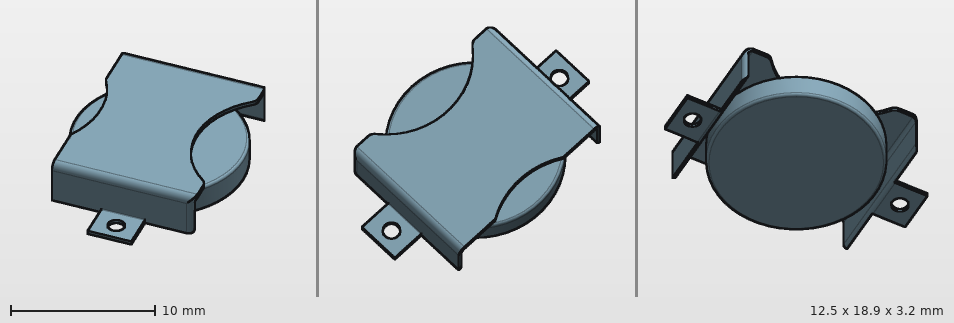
import cadquery as cq

CELL_DIAMETER = 12.5
CELL_RADIUS = CELL_DIAMETER / 2
CELL_HEIGHT = 2.0
CELL_EDGE_RADIUS = 0.2

OVERALL_LENGTH = 18.9
RETAINER_HEIGHT = 3.2
SHEET_THICKNESS = 0.28
BRIDGE_WIDTH_X = 10.62
BRIDGE_LENGTH_Y = 13.74
TOP_BEND_RADIUS = 0.57
FOOT_INNER_RADIUS = 0.04
CORNER_RADIUS = 0.6

TAB_WIDTH = 3.25
TAB_HOLE_DIAMETER = 1.21
TAB_HOLE_OFFSET_Y = 8.16

LEFT_NOTCH_RADIUS = 6.43
LEFT_NOTCH_BOTTOM_X = -4.38
RIGHT_NOTCH_RADIUS = 6.0
RIGHT_NOTCH_BOTTOM_X = 2.78
NOTCH_CORNER_RADIUS = 0.6

HALF_WIDTH = BRIDGE_WIDTH_X / 2
HALF_LENGTH = BRIDGE_LENGTH_Y / 2
FOOT_OUTER_RADIUS = FOOT_INNER_RADIUS + SHEET_THICKNESS


def make_cell():
    """Disc with rounded rims."""
    disc = cq.Workplane("XY").circle(CELL_RADIUS).extrude(CELL_HEIGHT)
    return disc.faces("<Z or >Z").edges().fillet(CELL_EDGE_RADIUS)


def bent_strip():
    """Constant-section strip: roof, two walls and two outward feet, with rounded bends."""
    tip_y = OVERALL_LENGTH / 2
    inner_y = HALF_LENGTH - SHEET_THICKNESS
    roof_underside = RETAINER_HEIGHT - SHEET_THICKNESS
    outline = [
        (-tip_y, 0),
        (-inner_y, 0),
        (-inner_y, roof_underside),
        (inner_y, roof_underside),
        (inner_y, 0),
        (tip_y, 0),
        (tip_y, SHEET_THICKNESS),
        (HALF_LENGTH, SHEET_THICKNESS),
        (HALF_LENGTH, RETAINER_HEIGHT),
        (-HALF_LENGTH, RETAINER_HEIGHT),
        (-HALF_LENGTH, SHEET_THICKNESS),
        (-tip_y, SHEET_THICKNESS),
    ]
    strip = cq.Workplane("YZ").polyline(outline).close().extrude(HALF_WIDTH, both=True)

    def round_bends(body, y, z, radius):
        for side in (-1, 1):
            picker = cq.selectors.NearestToPointSelector((0, side * y, z))
            body = body.edges("|X").edges(picker).fillet(radius)
        return body

    strip = round_bends(strip, HALF_LENGTH, RETAINER_HEIGHT, TOP_BEND_RADIUS)
    strip = round_bends(strip, inner_y, roof_underside, TOP_BEND_RADIUS - SHEET_THICKNESS)
    strip = round_bends(strip, inner_y, 0, FOOT_OUTER_RADIUS)
    return round_bends(strip, HALF_LENGTH, SHEET_THICKNESS, FOOT_INNER_RADIUS)


def notch(bottom_x, radius, direction):
    """Cylinder whose innermost line is at bottom_x, opening towards direction along X."""
    return (
        cq.Workplane("XY")
        .center(bottom_x + direction * radius, 0)
        .circle(radius)
        .extrude(RETAINER_HEIGHT)
    )


def bridge_plan():
    """Block with the plan shape of the bridge: notches and rounded +X corners."""
    plan = cq.Workplane("XY").rect(BRIDGE_WIDTH_X, BRIDGE_LENGTH_Y).extrude(RETAINER_HEIGHT)
    plan = plan.edges("|Z and >X").fillet(CORNER_RADIUS)
    plan = plan.cut(notch(RIGHT_NOTCH_BOTTOM_X, RIGHT_NOTCH_RADIUS, 1))
    plan = plan.edges("|Z and >X").edges(notch_corner_selector()).fillet(NOTCH_CORNER_RADIUS)
    return plan.cut(notch(LEFT_NOTCH_BOTTOM_X, LEFT_NOTCH_RADIUS, -1))


def notch_corner_selector():
    """Box around the two corners where the +X notch meets the roof edge."""
    reach = HALF_LENGTH - 2 * CORNER_RADIUS
    return cq.selectors.BoxSelector((0, -reach, 0), (BRIDGE_WIDTH_X, reach, RETAINER_HEIGHT))


def tab_plan():
    """Block with the plan shape of both tabs, outside the walls, with their holes."""
    tab_length = OVERALL_LENGTH / 2 - HALF_LENGTH
    tab_centre_y = HALF_LENGTH + tab_length / 2
    tabs = (
        cq.Workplane("XY")
        .pushPoints([(0, -tab_centre_y), (0, tab_centre_y)])
        .rect(TAB_WIDTH, tab_length)
        .extrude(RETAINER_HEIGHT)
    )
    holes = (
        cq.Workplane("XY")
        .pushPoints([(0, -TAB_HOLE_OFFSET_Y), (0, TAB_HOLE_OFFSET_Y)])
        .circle(TAB_HOLE_DIAMETER / 2)
        .extrude(RETAINER_HEIGHT)
    )
    return tabs.cut(holes)


def make_retainer():
    """Bent strip trimmed to the plan shape of the bridge and its tabs."""
    return bent_strip().intersect(bridge_plan().union(tab_plan()))


cell = make_cell()
retainer = make_retainer()

result = cq.Compound.makeCompound([cell.val(), *retainer.solids().vals()])